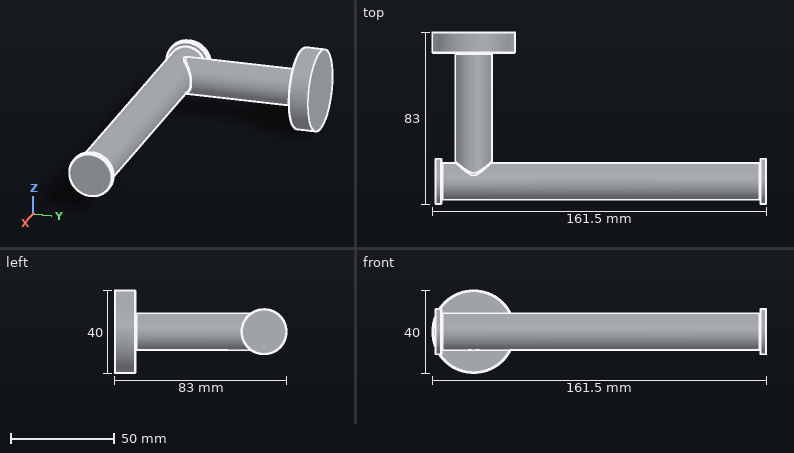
import cadquery as cq

overall_length = 161.5
overall_depth = 83.0

plate_diameter = 40.0
plate_thickness = 10.0
plate_chamfer = 0.5

tube_diameter = 18.0
neck_diameter = 17.0
neck_length = 0.5

cap_diameter = 22.0
cap_thickness = 3.0
cap_chamfer = 0.3
cap_start = 1.5

post_x = plate_diameter / 2
bar_y = -(overall_depth - cap_diameter / 2)
bar_start = cap_start + cap_thickness
bar_end = overall_length - cap_thickness


def cylinder_along_x(diameter, start, end):
    """Round rod on the bar axis between two X positions."""
    plane = cq.Workplane("YZ", origin=(start, bar_y, 0))
    return plane.circle(diameter / 2).extrude(end - start)


def cylinder_along_y(diameter, start, end):
    """Round rod on the post axis, from y = start forward to y = end."""
    plane = cq.Workplane("XZ", origin=(post_x, start, 0))
    return plane.circle(diameter / 2).extrude(start - end)


def make_plate():
    """Wall plate with a broken front edge."""
    plate = cylinder_along_y(plate_diameter, 0, -plate_thickness)
    return plate.faces("<Y").chamfer(plate_chamfer)


def make_bar():
    """Roll bar with a slim neck at each end."""
    body = cylinder_along_x(tube_diameter, bar_start + neck_length, bar_end - neck_length)
    core = cylinder_along_x(neck_diameter, bar_start, bar_end)
    return body.union(core)


def make_post(bar):
    """Post with a slim neck at the plate and another where it is coped onto the bar."""
    clearance = cylinder_along_x(tube_diameter + 2 * neck_length, bar_start, bar_end)
    sleeve = cylinder_along_y(tube_diameter, -plate_thickness - neck_length, bar_y).cut(clearance)
    core = cylinder_along_y(neck_diameter, -plate_thickness, bar_y).cut(bar)
    return sleeve.union(core)


def make_cap(start):
    """End cap with both rims chamfered."""
    cap = cylinder_along_x(cap_diameter, start, start + cap_thickness)
    return cap.faces("<X or >X").chamfer(cap_chamfer)


plate = make_plate()
bar = make_bar()
post = make_post(bar)
caps = [make_cap(start) for start in (cap_start, bar_end)]

result = cq.Compound.makeCompound(
    [plate.val(), post.val(), bar.val(), *[cap.val() for cap in caps]]
)